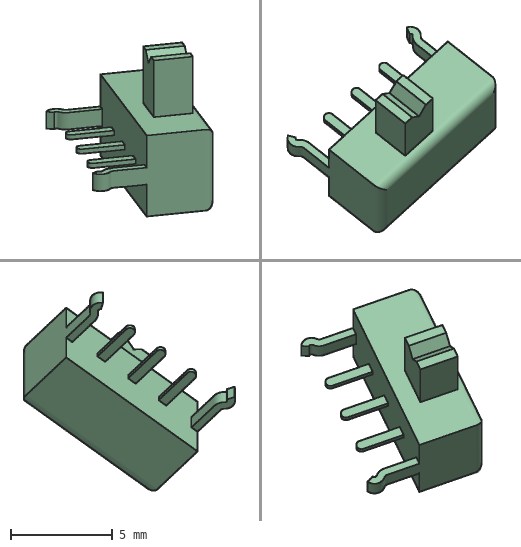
import math

import cadquery as cq

body_length = 8.6
body_depth = 3.5
body_height = 4.3
back_edge_radius = 0.5

knob_width = 2.0
knob_depth = 2.0
knob_height = 3.0
notch_width = 1.0
notch_depth = 0.5

pin_count = 3
pin_pitch = 2.0
pin_width = 0.5
pin_thickness = 0.25
pin_length = 2.4

clip_height = 0.9
clip_thickness = 0.4
clip_reach = 2.77
clip_overhang = 0.285
bend_radius = 0.25
curl_radius = 0.52

body_top = body_height / 2
body_side = body_length / 2
body_back_flat = body_depth - back_edge_radius


def make_housing():
    """Box with its four back edges rounded."""
    box = cq.Workplane("XY").box(body_length, body_depth, body_height, centered=(True, False, True))
    return box.faces(">Y").edges().fillet(back_edge_radius)


def make_knob():
    """Upright block with a V-notch running front to back across its top."""
    knob_top = body_top + knob_height
    knob_middle = knob_width / 2
    outline = [
        (0, body_top),
        (0, knob_top),
        (knob_middle - notch_width / 2, knob_top),
        (knob_middle, knob_top - notch_depth),
        (knob_middle + notch_width / 2, knob_top),
        (knob_width, knob_top),
        (knob_width, body_top),
    ]
    back = cq.Workplane("XZ", origin=(0, body_back_flat, 0))
    return back.polyline(outline).close().extrude(knob_depth)


def make_pin(x):
    """Flat pin with a fully rounded tip."""
    half_width = pin_width / 2
    straight_end = half_width - pin_length
    return (
        cq.Workplane("XY", origin=(x, 0, -pin_thickness / 2))
        .moveTo(-half_width, 0)
        .lineTo(-half_width, straight_end)
        .threePointArc((0, -pin_length), (half_width, straight_end))
        .lineTo(half_width, 0)
        .close()
        .extrude(pin_thickness)
    )


def point_on_circle(center, radius, angle):
    return (center[0] + radius * math.cos(angle), center[1] + radius * math.sin(angle))


def make_left_clip():
    """Constant-thickness strip: straight, outward bend, inward curl, radial end cut."""
    inner_curl_radius = curl_radius - clip_thickness
    inner_bend_radius = bend_radius + clip_thickness

    curl_offset = curl_radius - clip_overhang
    curl_rise = math.sqrt(curl_radius**2 - curl_offset**2)
    curl_center = (curl_offset - body_side, curl_rise - clip_reach)

    center_distance = bend_radius + curl_radius
    bend_angle = math.acos((curl_offset + bend_radius) / center_distance)
    straight_end = curl_center[1] + center_distance * math.sin(bend_angle)
    bend_center = (-body_side - bend_radius, straight_end)

    bend_finish = -bend_angle
    bend_middle = bend_finish / 2
    curl_start = math.pi - bend_angle
    curl_finish = math.pi + math.atan2(curl_rise, curl_offset)
    curl_middle = (curl_start + curl_finish) / 2

    return (
        cq.Workplane("XY", origin=(0, 0, -clip_height / 2))
        .moveTo(-body_side, 0)
        .lineTo(-body_side, straight_end)
        .threePointArc(
            point_on_circle(bend_center, bend_radius, bend_middle),
            point_on_circle(bend_center, bend_radius, bend_finish),
        )
        .threePointArc(
            point_on_circle(curl_center, curl_radius, curl_middle),
            point_on_circle(curl_center, curl_radius, curl_finish),
        )
        .lineTo(*point_on_circle(curl_center, inner_curl_radius, curl_finish))
        .threePointArc(
            point_on_circle(curl_center, inner_curl_radius, curl_middle),
            point_on_circle(curl_center, inner_curl_radius, curl_start),
        )
        .threePointArc(
            point_on_circle(bend_center, inner_bend_radius, bend_middle),
            (clip_thickness - body_side, straight_end),
        )
        .lineTo(clip_thickness - body_side, 0)
        .close()
        .extrude(clip_height)
    )


result = make_housing().union(make_knob())

for index in range(pin_count):
    pin_x = (index - (pin_count - 1) / 2) * pin_pitch
    result = result.union(make_pin(pin_x))

left_clip = make_left_clip()
result = result.union(left_clip).union(left_clip.mirror("YZ"))